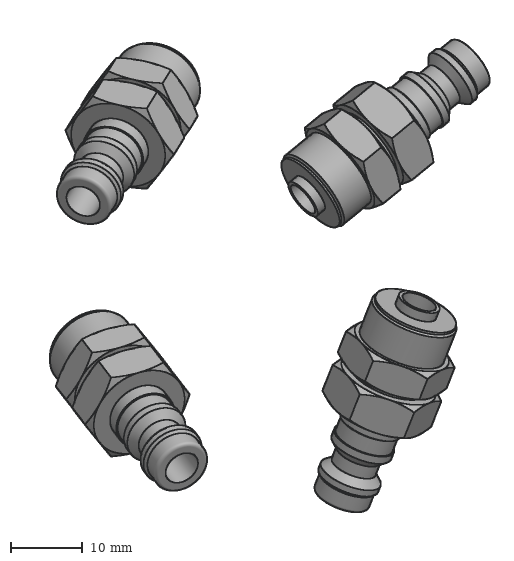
import cadquery as cq
import math

total_length = 32.0
tip_y = -total_length / 2

bore_diameter = 5.0
tip_diameter = 8.2
collar_diameter = 9.0
neck_diameter = 6.6
groove_diameter = 8.55
spacer_diameter = 11.35
sleeve_diameter = 12.6
sleeve_end_diameter = 12.03
tube_diameter = 6.08

tip_length = 2.62
front_collar_start = 3.05
front_collar_end = 4.03
neck_start = 5.2
neck_end = 7.17
rear_collar_start = 8.35
rear_collar_end = 9.5
groove_end = 12.0
front_hex_start = 14.0
front_hex_end = 19.42
rear_hex_start = 20.3
rear_hex_end = 24.85
sleeve_bevel_start = 29.95
sleeve_bevel_end = 30.25
sleeve_end = 30.6

tip_rounding = 0.5
hex_across_flats = 14.0
hex_across_corners = hex_across_flats / math.cos(math.radians(30))
hex_bevel_angle = 30.0


def revolve_about_y(profile):
    """Turn (diameter, distance from tip) points, closed along the axis, into a solid."""
    points = [(diameter / 2, tip_y + distance) for diameter, distance in profile]
    axis_points = [(0, points[-1][1]), (0, points[0][1])]
    outline = cq.Workplane("XY").polyline(points + axis_points).close()
    return outline.revolve(360, (0, 0, 0), (0, 1, 0))


def hex_nut(start, end):
    """Hexagon with corners on X, both ends bevelled down to the across-flats circle."""
    hexagon = (
        cq.Workplane("XZ", origin=(0, tip_y + end, 0))
        .polygon(6, hex_across_corners)
        .extrude(end - start)
    )
    bevel_depth = (
        (hex_across_corners - hex_across_flats) / 2 * math.tan(math.radians(hex_bevel_angle))
    )
    envelope = revolve_about_y([
        (hex_across_flats, start),
        (hex_across_corners, start + bevel_depth),
        (hex_across_corners, end - bevel_depth),
        (hex_across_flats, end),
    ])
    return hexagon.intersect(envelope)


turned_body = revolve_about_y([
    (tip_diameter, 0),
    (tip_diameter, tip_length),
    (collar_diameter, front_collar_start),
    (collar_diameter, front_collar_end),
    (neck_diameter, neck_start),
    (neck_diameter, neck_end),
    (collar_diameter, rear_collar_start),
    (collar_diameter, rear_collar_end),
    (groove_diameter, rear_collar_end),
    (groove_diameter, groove_end),
    (collar_diameter, groove_end),
    (collar_diameter, front_hex_start),
    (spacer_diameter, front_hex_start),
    (spacer_diameter, rear_hex_end),
    (sleeve_diameter, rear_hex_end),
    (sleeve_diameter, sleeve_bevel_start),
    (sleeve_end_diameter, sleeve_bevel_end),
    (sleeve_end_diameter, sleeve_end),
    (tube_diameter, sleeve_end),
    (tube_diameter, total_length),
]).faces("<Y").edges().fillet(tip_rounding)

front_hex = hex_nut(front_hex_start, front_hex_end)
rear_hex = hex_nut(rear_hex_start, rear_hex_end)

bore = revolve_about_y([(bore_diameter, 0), (bore_diameter, total_length)])

result = turned_body.union(front_hex).union(rear_hex).cut(bore)